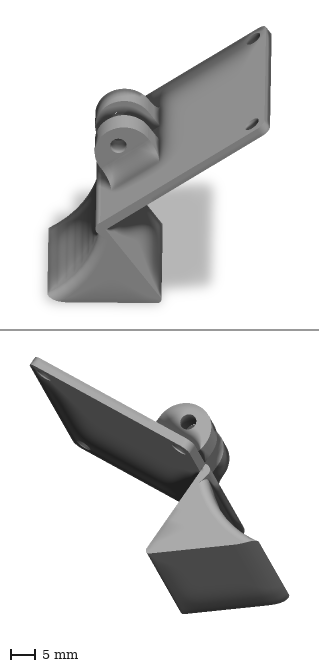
import cadquery as cq
import math

turn_angle = 30
slope_angle = 35

plate_length = 41.15
plate_width = 40.8
plate_thickness = 2.0
plate_corner_radius = 1.9
hinge_x = -14.5
hinge_z = 19.0
plate_right = -19.3
plate_left = plate_right + plate_width
plate_hole_diameter = 3.4
plate_hole_inset = 3.2

foot_width = 30.0
saddle_radius = 21.3
saddle_top = (-14.65, 16.25)
saddle_tip = (-25.3, 0.95)
nose_front = (-15.45, 17.6)
bottom_front_x = -20.45
heel_radius = 0.8
saddle_side_radius = 2.0
relief_top_angle = 42

ear_width = 12.05
ear_height = 10.1
ear_thickness = 5.0
ear_gap = 5.7
ear_front = 2.65
ear_pair_center = 2.8
ear_hole_height = 6.1
ear_hole_diameter = 3.4
ear_root_radius = 3.7


def make_plate():
    """Flat plate with its top face at Z = 0 and its hinge edge at X = 0."""
    plate = (
        cq.Workplane("XY")
        .box(plate_length, plate_width, plate_thickness, centered=False)
        .translate((0, plate_right, -plate_thickness))
    )
    plate = plate.edges("|Z and (>X or >Y)").fillet(plate_corner_radius)
    low_x = plate_hole_inset
    high_x = plate_length - plate_hole_inset
    low_y = plate_right + plate_hole_inset
    high_y = plate_left - plate_hole_inset
    holes = (
        cq.Workplane("XY")
        .pushPoints([(low_x, high_y), (high_x, high_y), (high_x, low_y)])
        .circle(plate_hole_diameter / 2)
        .extrude(-plate_thickness)
    )
    return plate.cut(holes)


def make_ear(side):
    """Round-topped ear; side is +1 or -1 and tells which way its root flares."""
    radius = ear_width / 2
    center_x = ear_front + radius
    flare = ear_thickness + ear_root_radius
    section = (
        cq.Workplane("YZ", origin=(ear_front, ear_pair_center, 0))
        .moveTo(side * ear_gap / 2, 0)
        .lineTo(side * (ear_gap / 2 + flare), 0)
        .radiusArc((side * (ear_gap / 2 + ear_thickness), ear_root_radius), side * ear_root_radius)
        .lineTo(side * (ear_gap / 2 + ear_thickness), ear_height)
        .lineTo(side * ear_gap / 2, ear_height)
        .close()
        .extrude(ear_width)
    )
    profile = (
        cq.Workplane("XZ", origin=(0, ear_pair_center, 0))
        .moveTo(ear_front, 0)
        .lineTo(ear_front, ear_height - radius)
        .radiusArc((center_x, ear_height), radius)
        .radiusArc((ear_front + ear_width, ear_height - radius), radius)
        .lineTo(ear_front + ear_width, 0)
        .close()
        .moveTo(center_x, ear_hole_height)
        .circle(ear_hole_diameter / 2)
        .extrude(ear_gap / 2 + flare, both=True)
    )
    return section.intersect(profile)


def saddle_center():
    """Center (X, Z) of the saddle arc, in front of the foot."""
    chord_x = saddle_tip[0] - saddle_top[0]
    chord_z = saddle_tip[1] - saddle_top[1]
    chord = math.hypot(chord_x, chord_z)
    rise = math.sqrt(saddle_radius**2 - (chord / 2) ** 2)
    center_x = (saddle_top[0] + saddle_tip[0]) / 2 + rise * chord_z / chord
    center_z = (saddle_top[1] + saddle_tip[1]) / 2 - rise * chord_x / chord
    return center_x, center_z


def make_saddle_relief(side_y, inward):
    """Ring that rounds the saddle's edge on the side face at side_y.

    inward is +1 or -1, the Y sense pointing into the foot.
    """
    center_x, center_z = saddle_center()
    inner_y = side_y + inward * saddle_side_radius
    outer_radius = saddle_radius + saddle_side_radius
    diagonal = saddle_side_radius * math.sqrt(0.5)
    ring = (
        cq.Workplane("XY", origin=(center_x, 0, center_z))
        .moveTo(saddle_radius, inner_y)
        .threePointArc((outer_radius - diagonal, inner_y - inward * diagonal), (outer_radius, side_y))
        .lineTo(saddle_radius - saddle_side_radius, side_y)
        .lineTo(saddle_radius - saddle_side_radius, inner_y)
        .close()
        .revolve(360, (0, 0, 0), (0, 1, 0))
    )
    block = 4 * saddle_radius
    below_nose = (
        cq.Workplane("XY")
        .box(block, block, block)
        .translate((0, 0, -block / 2))
        .rotate((0, 0, 0), (0, 1, 0), relief_top_angle)
        .translate((saddle_top[0], side_y, saddle_top[1]))
    )
    return ring.intersect(below_nose)


def make_foot():
    """Wedge under the hinge edge with a concave saddle in front."""
    underside_radius = ((bottom_front_x - saddle_tip[0]) ** 2 + saddle_tip[1] ** 2) / (2 * saddle_tip[1])
    heel_x = hinge_x + hinge_z * math.tan(math.radians(slope_angle))
    foot = (
        cq.Workplane("XZ", origin=(0, plate_right + foot_width, 0))
        .moveTo(hinge_x, hinge_z)
        .threePointArc(nose_front, saddle_top)
        .radiusArc(saddle_tip, saddle_radius)
        .radiusArc((bottom_front_x, 0), -underside_radius)
        .lineTo(heel_x, 0)
        .close()
        .extrude(foot_width)
    )
    foot = foot.edges("|Y and >X").fillet(heel_radius)
    right_relief = make_saddle_relief(plate_right, 1)
    left_relief = make_saddle_relief(plate_right + foot_width, -1)
    return foot.cut(right_relief).cut(left_relief)


tilted = make_plate()
for ear_side in (-1, 1):
    tilted = tilted.union(make_ear(ear_side))
tilted = tilted.rotate((0, 0, 0), (0, 1, 0), -slope_angle).translate((hinge_x, 0, hinge_z))

result = tilted.union(make_foot()).rotate((0, 0, 0), (0, 0, 1), turn_angle)